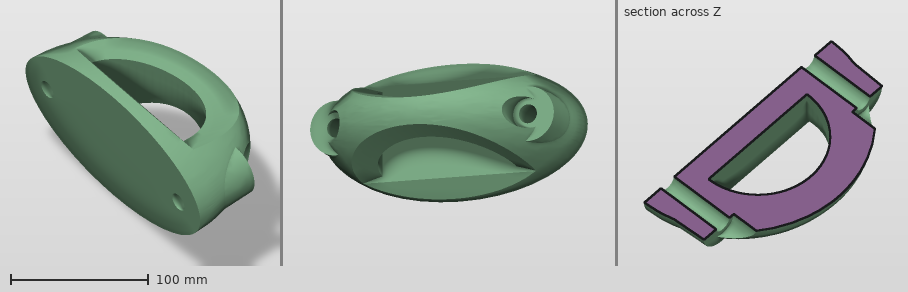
import cadquery as cq
import math

length = 200.0
dome_radius = length / 2
half_height = dome_radius / 2

grip_base_y = 20.0
grip_base_half_height = 35.5
trough_radius = 218.0
trough_base_half_height = 24.5
trough_tip_half_height = 9.8
flange_edge_y = 10.2
opening_radius = 52.5

boss_x = 75.0
boss_top_y = 55.0
boss_top_radius = 20.2
boss_base_radius = 22.5
screw_radius = 7.0
head_clearance_radius = 11.5


def ellipsoid_body():
    """Half ellipse in the XZ plane swept half a turn about Z, on the +Y side."""
    return (
        cq.Workplane("XZ")
        .ellipseArc(dome_radius, half_height, -90, 90, startAtCurrent=False)
        .close()
        .revolve(-180, (0, 0, 0), (0, 1, 0))
    )


def upper_scoop():
    """Material above the grip: a flange bevel, then a large cylinder lying along a falling line."""
    wedge = (
        cq.Workplane("YZ")
        .moveTo(flange_edge_y, half_height)
        .lineTo(grip_base_y, grip_base_half_height)
        .lineTo(grip_base_y, half_height)
        .close()
        .extrude(dome_radius, both=True)
    )
    fall = trough_base_half_height - trough_tip_half_height
    run = dome_radius - grip_base_y
    slope_angle = math.atan2(fall, run)
    axis_y = trough_radius * math.sin(slope_angle)
    axis_z = trough_radius * math.cos(slope_angle)
    direction = cq.Vector(0, math.cos(slope_angle), -math.sin(slope_angle))
    trough_start = cq.Vector(0, grip_base_y + axis_y, trough_base_half_height + axis_z)
    trough = cq.Workplane(
        cq.Solid.makeCylinder(
            trough_radius, 2 * length, trough_start - direction * length, direction
        )
    )
    grip_zone = cq.Workplane("XY").box(
        length, dome_radius, half_height, centered=(True, False, False)
    )
    return wedge.union(trough.intersect(grip_zone.translate((0, grip_base_y, 0))))


def finger_opening():
    return (
        cq.Workplane("XY")
        .moveTo(-opening_radius, grip_base_y)
        .threePointArc((0, grip_base_y + opening_radius), (opening_radius, grip_base_y))
        .close()
        .extrude(half_height, both=True)
    )


def cone_along_y(x, start_y, end_y, start_radius, end_radius):
    height = end_y - start_y
    origin = cq.Vector(x, start_y, 0)
    return cq.Workplane(
        cq.Solid.makeCone(start_radius, end_radius, height, origin, cq.Vector(0, 1, 0))
    )


def cylinder_along_y(x, start_y, end_y, radius):
    origin = cq.Vector(x, start_y, 0)
    return cq.Workplane(
        cq.Solid.makeCylinder(radius, end_y - start_y, origin, cq.Vector(0, 1, 0))
    )


scoop = upper_scoop()
result = ellipsoid_body().cut(scoop).cut(scoop.mirror("XY")).cut(finger_opening())

for x in (-boss_x, boss_x):
    result = result.union(cone_along_y(x, 0, boss_top_y, boss_base_radius, boss_top_radius))
    result = result.cut(cylinder_along_y(x, boss_top_y, dome_radius, head_clearance_radius))
    result = result.cut(cylinder_along_y(x, 0, boss_top_y, screw_radius))